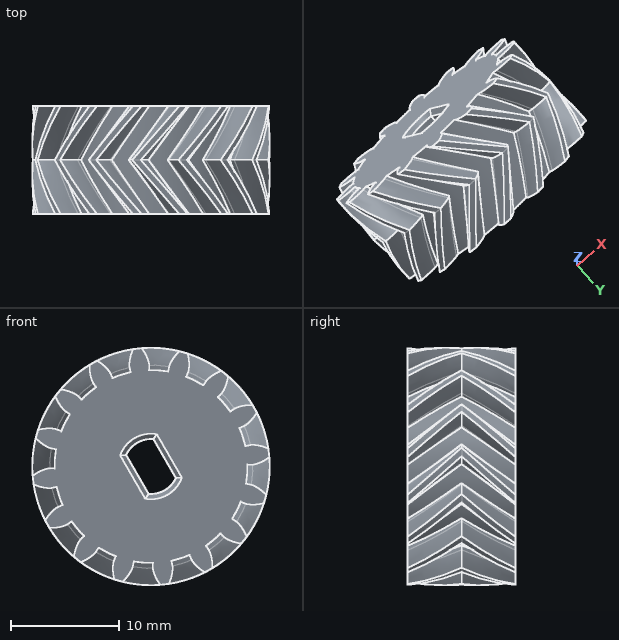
import cadquery as cq
import math

TEETH = 16
TIP_RADIUS = 11.0
PITCH_RADIUS = 10.0
ROOT_RADIUS = 8.93
TOOTH_OVERLAP = 0.45
SUNKEN_RADIUS = ROOT_RADIUS - TOOTH_OVERLAP
PRESSURE_ANGLE = 20.0
BASE_RADIUS = PITCH_RADIUS * math.cos(math.radians(PRESSURE_ANGLE))
BASE_TOOTH_ANGLE = 11.2
INVOLUTE_POINTS = 6

WIDTH = 10.0
HALF_WIDTH = WIDTH / 2
TWIST = 22.9

PITCH_ANGLE = 360 / TEETH
MID_PHASE = 7.0

BORE_RADIUS = 2.53
BORE_FLAT_WIDTH = 2.9
BORE_CHAMFER = 0.5
CHAMFER_ANGLE = 45.0
BORE_ANGLE = -60.0


def polar(radius, degrees):
    angle = math.radians(degrees)
    return (radius * math.cos(angle), radius * math.sin(angle))


def involute_roll(radius):
    """Degrees the involute has turned, from the base circle out to this radius."""
    pressure = math.acos(BASE_RADIUS / radius)
    return math.degrees(math.tan(pressure) - pressure)


def flank(side):
    """Points of one involute flank of the first tooth, base to tip; side is -1 or +1."""
    points = []
    for i in range(INVOLUTE_POINTS):
        radius = BASE_RADIUS + (TIP_RADIUS - BASE_RADIUS) * i / (INVOLUTE_POINTS - 1)
        half_angle = BASE_TOOTH_ANGLE / 2 - involute_roll(radius)
        points.append(polar(radius, MID_PHASE + side * half_angle))
    return points


def chevron_tooth():
    """One tooth: radial below the base circle, involute above, twisted both ways from the middle."""
    half_base = BASE_TOOTH_ANGLE / 2
    rising = flank(-1)
    falling = flank(1)[::-1]
    front_half = (
        cq.Workplane("XZ")
        .moveTo(*polar(SUNKEN_RADIUS, MID_PHASE - half_base))
        .lineTo(*rising[0])
        .spline(rising[1:], includeCurrent=True)
        .threePointArc(polar(TIP_RADIUS, MID_PHASE), falling[0])
        .spline(falling[1:], includeCurrent=True)
        .lineTo(*polar(SUNKEN_RADIUS, MID_PHASE + half_base))
        .close()
        .twistExtrude(HALF_WIDTH, -TWIST)
    )
    return front_half.union(front_half.mirror("XZ"))


def herringbone_body():
    core = cq.Workplane("XZ").circle(ROOT_RADIUS).extrude(HALF_WIDTH, both=True)
    tooth = chevron_tooth().val()
    teeth = []
    for i in range(TEETH):
        teeth.append(tooth.rotate((0, 0, 0), (0, 1, 0), i * PITCH_ANGLE))
    return cq.Workplane(core.val().fuse(*teeth).clean())


def bore_outline(offset):
    """Double-flat outline on the front face, grown outward by the offset."""
    radius = BORE_RADIUS + offset
    half_flat = BORE_FLAT_WIDTH / 2 + offset
    half_length = math.sqrt(radius**2 - half_flat**2)
    return (
        cq.Workplane("XZ", origin=(0, -HALF_WIDTH, 0))
        .transformed(rotate=(0, 0, BORE_ANGLE))
        .moveTo(-half_length, -half_flat)
        .lineTo(half_length, -half_flat)
        .threePointArc((radius, 0), (half_length, half_flat))
        .lineTo(-half_length, half_flat)
        .threePointArc((-radius, 0), (-half_length, -half_flat))
        .close()
    )


def bore_cutter():
    through = bore_outline(0).extrude(-WIDTH)
    chamfer = bore_outline(BORE_CHAMFER).extrude(-BORE_CHAMFER, taper=CHAMFER_ANGLE)
    return through.union(chamfer)


result = herringbone_body().cut(bore_cutter())